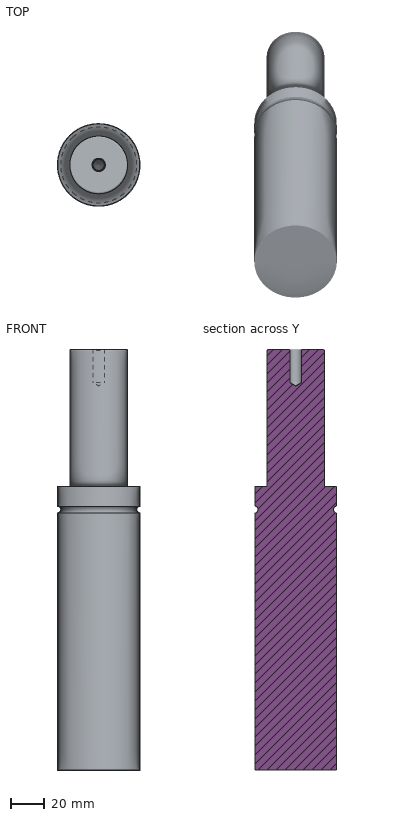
import cadquery as cq
import math

body_radius = 25.0
body_height = 172.0
rod_radius = 17.5
total_height = 255.0
rod_fillet = 1.0

groove_radius = 2.0
groove_drop = 14.0
groove_center_z = body_height - groove_drop

hole_radius = 3.4
hole_chamfer = 0.6
hole_depth = 20.0
drill_point_angle = 118.0


def make_body():
    """Cylindrical body with the groove cut around it."""
    body = cq.Workplane("XY").circle(body_radius).extrude(body_height)
    groove = (
        cq.Workplane("XZ")
        .moveTo(body_radius, groove_center_z + groove_radius)
        .threePointArc(
            (body_radius - groove_radius, groove_center_z),
            (body_radius, groove_center_z - groove_radius),
        )
        .close()
        .revolve(360, (0, 0), (0, 1))
    )
    return body.cut(groove)


def make_rod():
    """Rod standing on the body, with its top edge rounded."""
    rod_height = total_height - body_height
    rod = cq.Workplane("XY").workplane(offset=body_height).circle(rod_radius).extrude(rod_height)
    return rod.faces(">Z").edges().fillet(rod_fillet)


def make_hole():
    """Drilled hole: chamfered mouth, straight wall and conical drill point."""
    point_depth = hole_radius / math.tan(math.radians(drill_point_angle / 2))
    shoulder_z = total_height - hole_depth
    mouth_radius = hole_radius + hole_chamfer
    return (
        cq.Workplane("XZ")
        .moveTo(0, total_height)
        .lineTo(mouth_radius, total_height)
        .lineTo(hole_radius, total_height - hole_chamfer)
        .lineTo(hole_radius, shoulder_z)
        .lineTo(0, shoulder_z - point_depth)
        .close()
        .revolve(360, (0, 0), (0, 1))
    )


result = make_body().union(make_rod()).cut(make_hole())